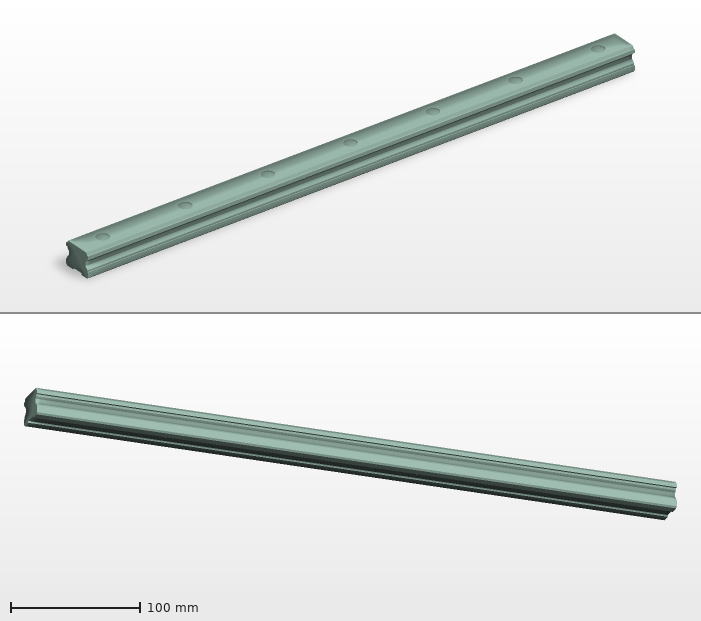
import cadquery as cq

length = 530.0
width = 28.0
height = 23.0

half_width = width / 2
top_half_width = 11.5
bevel_half_width = 12.5
head_neck_half_width = 12.0
waist_half_width = 10.5
base_shoulder_half_width = 13.0
foot_half_width = 12.5
relief_half_width = 5.5

top_z = height / 2
bottom_z = -height / 2
lip_upper_z = 9.0
lip_lower_z = 6.0
head_neck_z = 4.0
waist_upper_z = 2.5
waist_lower_z = -1.0
base_shoulder_z = -3.5
base_upper_z = -5.5
base_lower_z = -10.0
relief_depth = 1.5

recess_count = 7
recess_pitch = 80.0
recess_diameter = 11.0
recess_depth = 0.5


def make_rail():
    """Symmetric rail section extruded along Y and centred on the origin."""
    right_half = [
        (0, bottom_z + relief_depth),
        (relief_half_width, bottom_z + relief_depth),
        (relief_half_width, bottom_z),
        (foot_half_width, bottom_z),
        (half_width, base_lower_z),
        (half_width, base_upper_z),
        (base_shoulder_half_width, base_upper_z),
        (base_shoulder_half_width, base_shoulder_z),
        (waist_half_width, waist_lower_z),
        (waist_half_width, waist_upper_z),
        (head_neck_half_width, head_neck_z),
        (head_neck_half_width, lip_lower_z),
        (half_width, lip_lower_z),
        (half_width, lip_upper_z),
        (bevel_half_width, lip_upper_z),
        (top_half_width, top_z),
        (0, top_z),
    ]
    section = cq.Workplane("XZ").polyline(right_half).mirrorY()
    return section.extrude(length / 2, both=True)


def make_recesses():
    """Evenly spaced discs that sink the mounting positions below the top face."""
    recess_floor = cq.Workplane("XY").workplane(offset=top_z - recess_depth)
    positions = recess_floor.rarray(5.5, recess_pitch, 1, recess_count)
    return positions.circle(recess_diameter / 2).extrude(recess_depth)


result = make_rail().cut(make_recesses())